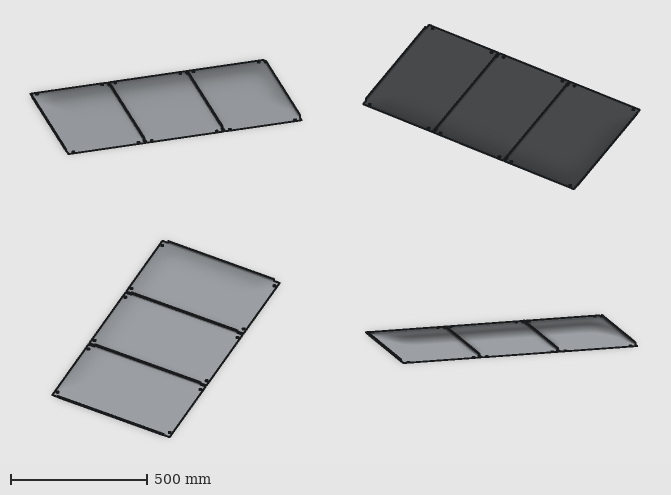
import cadquery as cq

total_length = 898.0
panel_width = 482.0
panel_height = 8.0

panel_count = 3
panel_gap = 2.1
panel_length = (total_length - (panel_count - 1) * panel_gap) / panel_count
panel_pitch = panel_length + panel_gap
sheet = 1.0
bend_inner_radius = 1.35
bend_outer_radius = bend_inner_radius + sheet

lip_length = 435.5
plate_length = panel_length - 2 * bend_outer_radius

hole_spacing_x = 461.0
hole_spacing_y = 250.0
hole_diameter = 7.6


def make_plate():
    """Flat plate across the full panel width, with its underside at Z = 0."""
    return cq.Workplane("XY").box(panel_width, plate_length, sheet, centered=(True, True, False))


def make_folded_tray():
    """Shallow U-shaped sheet: the floor with both bends and upright lips."""
    outer_y = panel_length / 2
    inner_y = outer_y - sheet
    bend_y = outer_y - bend_outer_radius
    return (
        cq.Workplane("YZ", origin=(-lip_length / 2, 0, 0))
        .moveTo(-bend_y, 0)
        .lineTo(bend_y, 0)
        .radiusArc((outer_y, bend_outer_radius), -bend_outer_radius)
        .lineTo(outer_y, panel_height)
        .lineTo(inner_y, panel_height)
        .lineTo(inner_y, bend_outer_radius)
        .radiusArc((bend_y, sheet), bend_inner_radius)
        .lineTo(-bend_y, sheet)
        .radiusArc((-inner_y, bend_outer_radius), bend_inner_radius)
        .lineTo(-inner_y, panel_height)
        .lineTo(-outer_y, panel_height)
        .lineTo(-outer_y, bend_outer_radius)
        .radiusArc((-bend_y, 0), -bend_outer_radius)
        .close()
        .extrude(lip_length)
    )


def make_mounting_holes():
    """Cutters for the four through holes near the corners."""
    return (
        cq.Workplane("XY")
        .rarray(hole_spacing_x, hole_spacing_y, 2, 2)
        .circle(hole_diameter / 2)
        .extrude(sheet)
    )


def make_panel(center_y):
    """One folded panel, centred on the given Y position."""
    panel = make_plate().union(make_folded_tray()).cut(make_mounting_holes())
    return panel.translate((0, center_y, 0))


panels = []
for index in range(panel_count):
    center_y = (index - (panel_count - 1) / 2) * panel_pitch
    panels.append(make_panel(center_y).val())

result = cq.Compound.makeCompound(panels)